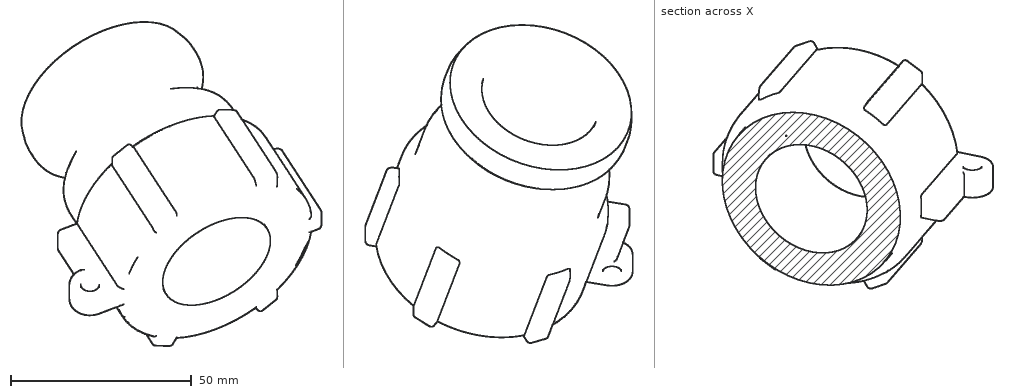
import cadquery as cq
import math

length = 69.09
bore_d = 33.27
plug_d = 53.47
socket_d = 60.2

rim_taper_angle = 15.0
rim_taper_length = 3.27
rim_blend = 3.0
groove_x = 17.55
groove_floor_r = 21.45
groove_arc_r = 11.1
groove_blend = 3.0

shoulder_x = 40.15
shoulder_angle = 60.0

large_round = 1.5875
small_round = 0.8

rib_start_x = 42.1
rib_top_r = 33.02
rib_root_r = 24.0
side_rib_half_width = 3.4
rib_half_width = 3.0
rib_angle = 60.0
rib_draft = 90.0 - rib_angle

lug_thickness = 7.62
eyelet_r = 5.74
eyelet_hole_d = 5.08
eyelet_x = length - eyelet_r
eyelet_y = -36.21

plug_r = plug_d / 2
socket_r = socket_d / 2
rib_length = length - rib_start_x


def ring_edge(x):
    """Selector for circular edges centred on the axis at the given X."""
    reach = 0.05
    return cq.selectors.BoxSelector((x - reach, -reach, -reach), (x + reach, reach, reach))


def make_body():
    rim_face_r = plug_r - rim_taper_length * math.tan(math.radians(rim_taper_angle))
    groove_center_r = groove_floor_r + groove_arc_r
    groove_half = math.sqrt(groove_arc_r**2 - (groove_center_r - plug_r) ** 2)
    groove_start_x = groove_x - groove_half
    groove_end_x = groove_x + groove_half
    shoulder_length = (socket_r - plug_r) / math.tan(math.radians(shoulder_angle))
    socket_x = shoulder_x + shoulder_length

    body = (
        cq.Workplane("XY")
        .lineTo(0, rim_face_r)
        .lineTo(rim_taper_length, plug_r)
        .lineTo(groove_start_x, plug_r)
        .threePointArc((groove_x, groove_floor_r), (groove_end_x, plug_r))
        .lineTo(shoulder_x, plug_r)
        .lineTo(socket_x, socket_r)
        .lineTo(length, socket_r)
        .lineTo(length, 0)
        .close()
        .revolve(360, (0, 0, 0), (1, 0, 0))
    )
    roundings = [
        (rim_taper_length, rim_blend),
        (groove_start_x, groove_blend),
        (groove_end_x, groove_blend),
        (shoulder_x, large_round),
        (socket_x, large_round),
        (length, large_round),
    ]
    for x, radius in roundings:
        body = body.edges(ring_edge(x)).fillet(radius)
    return body


def make_rib(half_width, draft_angle):
    """Rib standing on +Z; its -Y wall flares outward toward the root by the draft angle."""
    flare = (rib_top_r - rib_root_r) * math.tan(math.radians(draft_angle))
    rib = (
        cq.Workplane("YZ", origin=(rib_start_x, 0, 0))
        .moveTo(half_width, rib_root_r)
        .lineTo(half_width, rib_top_r)
        .lineTo(-half_width, rib_top_r)
        .lineTo(-half_width - flare, rib_root_r)
        .close()
        .extrude(rib_length)
    )
    rib = rib.edges("|Y and >Z").fillet(large_round)
    return rib.faces("<Y or >Y").edges("not <Z").fillet(small_round)


def make_lug():
    lug = (
        cq.Workplane("XY", origin=(0, 0, -lug_thickness / 2))
        .moveTo(rib_start_x, -rib_root_r)
        .lineTo(rib_start_x, eyelet_y)
        .lineTo(eyelet_x - eyelet_r, eyelet_y)
        .threePointArc((eyelet_x, eyelet_y - eyelet_r), (length, eyelet_y))
        .lineTo(length, -rib_root_r)
        .close()
        .moveTo(eyelet_x, eyelet_y)
        .circle(eyelet_hole_d / 2)
        .extrude(lug_thickness)
    )
    corner = cq.selectors.NearestToPointSelector((rib_start_x, eyelet_y, 0))
    lug = lug.edges(corner).fillet(large_round)
    return lug.faces("<Z or >Z").edges("not >Y").fillet(small_round)


def cut_bore(part):
    bore = cq.Workplane("YZ").circle(bore_d / 2).extrude(length)
    part = part.cut(bore)
    rim = part.edges(ring_edge(0)).edges(cq.selectors.RadiusNthSelector(0))
    return rim.fillet(small_round)


result = cut_bore(make_body())

side_rib = make_rib(side_rib_half_width, 0).rotate((0, 0, 0), (1, 0, 0), -90)
result = result.union(side_rib)

upper_rib = make_rib(rib_half_width, rib_draft).rotate((0, 0, 0), (1, 0, 0), 90 - rib_angle)
for rib in (upper_rib, upper_rib.mirror("XZ")):
    result = result.union(rib).union(rib.mirror("XY"))

result = result.union(make_lug())